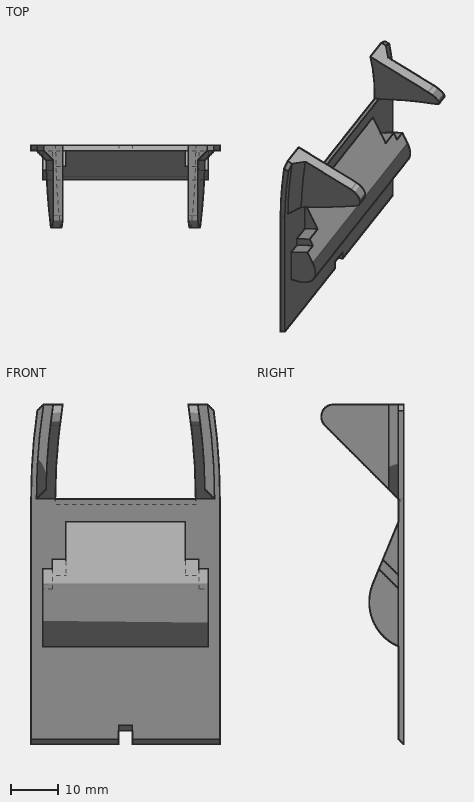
import cadquery as cq
import math

height = 71.9
width = 40.0
depth = 17.5
plate_thickness = 1.15

prong_height = 20.0
prong_lean = 1.5
prong_wall = 2.0
prong_flare = 2.0
prong_lip = 1.15
prong_corner_chamfer = 1.15

ramp_top_z = 47.1
ramp_bottom_z = 20.7
nose_start_z = 34.0
ramp_angle = 22.5
ramp_width = 35.1
ramp_steps = [(31.1, 37.1), (25.2, 39.1)]

notch_width = 2.9
notch_height = 4.0

plate_top_z = height - prong_height
front_y = -plate_thickness


def extrude_across(outline, span):
    """Extrude a closed YZ outline symmetrically about x = 0."""
    return outline.extrude(span / 2, both=True)


def make_plate():
    """Flat plate whose bottom edge, notch roof and top edge between prongs slope down to the back."""
    outline = (
        cq.Workplane("YZ")
        .polyline([(0, 0), (0, plate_top_z), (front_y, plate_top_z), (front_y, plate_thickness)])
        .close()
    )
    notch = (
        cq.Workplane("YZ")
        .polyline([(0, 0), (0, notch_height - plate_thickness), (front_y, notch_height), (front_y, 0)])
        .close()
    )
    top_bevel = (
        cq.Workplane("YZ")
        .polyline([(0, plate_top_z - plate_thickness), (front_y, plate_top_z), (0, plate_top_z)])
        .close()
    )
    prong_gap = width - 2 * (prong_lip + prong_flare + prong_wall)
    plate = extrude_across(outline, width)
    return plate.cut(extrude_across(notch, notch_width)).cut(extrude_across(top_bevel, prong_gap))


def ramp_slope_y(z):
    """Y position of the straight slope at height z."""
    return front_y - (ramp_top_z - z) * math.tan(math.radians(ramp_angle))


def make_ramp():
    """Ramp whose upper end is narrowed by ledges that slope down at 45 degrees to the plate."""
    profile = (
        cq.Workplane("YZ")
        .moveTo(front_y, ramp_top_z)
        .lineTo(ramp_slope_y(nose_start_z), nose_start_z)
        .tangentArcPoint((front_y, ramp_bottom_z), relative=False)
        .lineTo(0, ramp_bottom_z)
        .lineTo(0, ramp_top_z)
        .close()
    )
    ramp = extrude_across(profile, ramp_width)
    for step_width, ledge_z in ramp_steps:
        ledge_y = ramp_slope_y(ledge_z)
        above_ledge = (
            cq.Workplane("YZ")
            .polyline([
                (0, ledge_z + ledge_y),
                (-depth, ledge_z + ledge_y + depth),
                (-depth, height),
                (0, height),
            ])
            .close()
        )
        kept_middle = cq.Workplane("XY").box(step_width, 2 * depth, 2 * height)
        ramp = ramp.cut(extrude_across(above_ledge, width).cut(kept_middle))
    return ramp


def make_prong_side():
    """Side outline of both prongs: a 45 degree underside and a rounded tip."""
    sharp_tip = plate_thickness + prong_height
    tip_radius = (sharp_tip - depth) / math.sqrt(2)
    tip_y = -depth + tip_radius
    tip_z = height - tip_radius
    tangent_offset = tip_radius * math.sqrt(0.5)
    outline = (
        cq.Workplane("YZ")
        .moveTo(0, plate_top_z)
        .lineTo(0, height)
        .lineTo(tip_y, height)
        .threePointArc((-depth, tip_z), (tip_y - tangent_offset, tip_z - tangent_offset))
        .lineTo(front_y, plate_top_z)
        .close()
    )
    return extrude_across(outline, width)


def make_left_prong():
    """Prong section bent about an axis parallel to Y, then trimmed to its side outline."""
    edge_x = -width / 2
    flare_x = edge_x + prong_lip
    outer_x = flare_x + prong_flare
    inner_x = outer_x + prong_wall
    flare_y = front_y - prong_flare
    bend_radius = (prong_height**2 + prong_lean**2) / (2 * prong_lean)
    bend_x = edge_x + bend_radius
    bend_overrun = 1.2
    bend_angle = bend_overrun * math.degrees(math.asin(prong_height / bend_radius))
    bar = (
        cq.Workplane("XY", origin=(0, 0, plate_top_z))
        .polyline([
            (edge_x, 0),
            (edge_x, front_y),
            (flare_x, front_y),
            (outer_x, flare_y),
            (outer_x, -depth),
            (inner_x, -depth),
            (inner_x, 0),
        ])
        .close()
        .revolve(bend_angle, (bend_x, 0, 0), (bend_x, 1, 0))
    )
    top_edge_x = edge_x + prong_lean
    corner = (
        cq.Workplane("XZ")
        .polyline([
            (top_edge_x + prong_corner_chamfer, height),
            (edge_x, height - prong_corner_chamfer - prong_lean),
            (edge_x, height),
        ])
        .close()
        .extrude(plate_thickness)
    )
    return bar.intersect(make_prong_side()).cut(corner)


left_prong = make_left_prong()
right_prong = left_prong.mirror("YZ")
result = make_plate().union(make_ramp()).union(left_prong).union(right_prong)